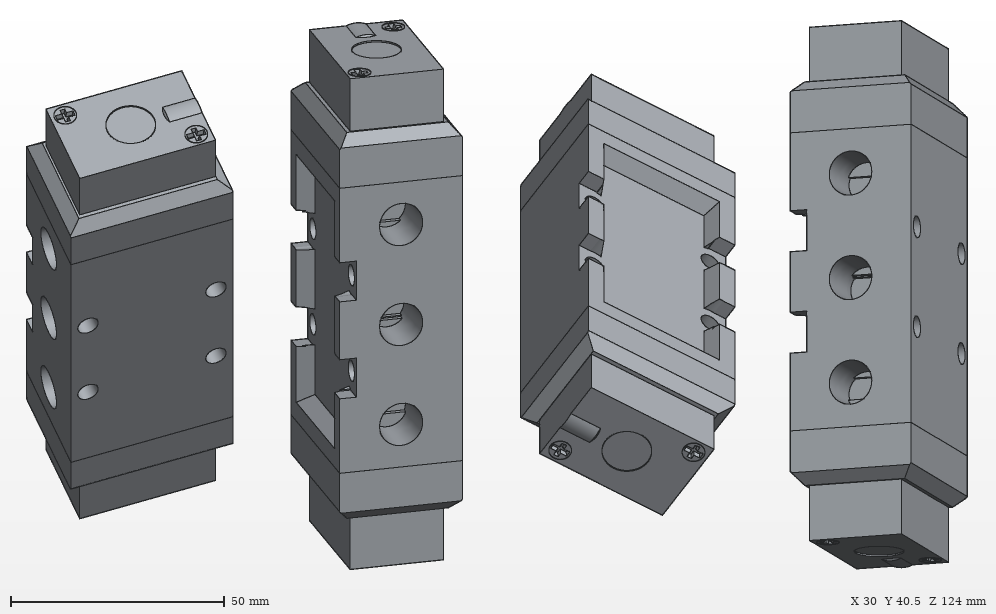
import cadquery as cq

BODY_WIDTH = 30.0
BODY_DEPTH = 40.5
TOTAL_HEIGHT = 124.0
BODY_HEIGHT = 71.4

PORT_PITCH = 25.0
PORT_MOUTH_DIAMETER = 10.5
PORT_DEPTH = 11.9
PORT_TAPER = 1 / 16
SLOT_STEP_DEPTH = 1.2
CENTRE_SLOT_HEIGHTS = (6.3, 5.7)
END_SLOT_HEIGHTS = (5.2,)
END_SLOT_OFFSET = 1.0

POCKET_DEPTH = 4.1
POCKET_WIDTH = 32.0
POCKET_HEIGHT = 62.1
POCKET_FLOOR_WIDTH = 28.4
POCKET_FLOOR_HEIGHT = 57.8
NOTCH_HEIGHT = 9.8
NOTCH_OFFSET = 12.2
NOTCH_GAP = 30.8
MOUNT_HOLE_DIAMETER = 5.1
SPOT_FACE_DIAMETER = 9.7
MOUNT_HOLE_PITCH_Y = POCKET_WIDTH
MOUNT_HOLE_PITCH_Z = 23.9

CAP_HEIGHT = 12.6
CAP_SHORT_CHAMFER = 2.6
CAP_LONG_CHAMFER = 3.0

COVER_WIDTH = 22.8
COVER_DEPTH = 34.0
COVER_CENTRE_Y = 0.2
DISC_DIAMETER = 11.7
DISC_RECESS_DEPTH = 0.4

RIB_WIDTH = 4.8
RIB_HEIGHT = 0.5
RIB_LENGTH = 8.8
RIB_END_CHAMFER = 0.6

SCREW_DIAMETER = 5.3
SCREW_RECESS_DEPTH = 0.1
SCREW_OFFSET_X = 8.0
SCREW_OFFSET_Y = 13.4
CROSS_ARM_X = (3.8, 1.2)
CROSS_ARM_Y = (1.5, 4.5)
CROSS_DEPTH = 1.2
CROSS_TAPER = 15.0

CAP_BASE_Z = BODY_HEIGHT / 2
CAP_TOP_Z = CAP_BASE_Z + CAP_HEIGHT
COVER_TOP_Z = TOTAL_HEIGHT / 2 - RIB_HEIGHT
COVER_HEIGHT = COVER_TOP_Z - CAP_TOP_Z


def block(width, depth, height, x=0, y=0, z=0):
    """A box centred on the given point."""
    return cq.Workplane("XY").box(width, depth, height).translate((x, y, z))


def frustum(lower_size, upper_size, height):
    """A rectangular frustum standing on Z = 0."""
    return (
        cq.Workplane("XY")
        .rect(*lower_size)
        .workplane(offset=height)
        .rect(*upper_size)
        .loft(ruled=True)
    )


def port_cutter(slot_heights, slot_offset):
    """A tapered port along Y, mouth on the -Y face, with a stepped flat slot across its bottom."""
    bottom_diameter = PORT_MOUTH_DIAMETER - PORT_DEPTH * PORT_TAPER
    mouth_y = -BODY_DEPTH / 2
    bottom_y = mouth_y + PORT_DEPTH
    cutter = (
        cq.Workplane("XZ", origin=(0, mouth_y, 0))
        .circle(PORT_MOUTH_DIAMETER / 2)
        .workplane(offset=-PORT_DEPTH)
        .circle(bottom_diameter / 2)
        .loft(ruled=True)
    )
    for step, slot_height in enumerate(slot_heights, start=1):
        slot = (
            cq.Workplane("XZ", origin=(0, bottom_y, 0))
            .circle(bottom_diameter / 2)
            .extrude(-step * SLOT_STEP_DEPTH)
            .intersect(block(bottom_diameter, BODY_DEPTH, slot_height, z=slot_offset))
        )
        cutter = cutter.union(slot)
    return cutter


def pocket_cutter():
    """The drafted pocket, widest at the -X face."""
    return (
        frustum(
            (POCKET_HEIGHT, POCKET_WIDTH),
            (POCKET_FLOOR_HEIGHT, POCKET_FLOOR_WIDTH),
            POCKET_DEPTH,
        )
        .rotate((0, 0, 0), (0, 1, 0), 90)
        .translate((-BODY_WIDTH / 2, 0, 0))
    )


def notch_cutter():
    """Two notches at one height, running in from the Y faces just past the pocket mouth."""
    full = block(2 * POCKET_DEPTH, BODY_DEPTH, NOTCH_HEIGHT, x=-BODY_WIDTH / 2)
    middle = block(2 * POCKET_DEPTH, NOTCH_GAP, NOTCH_HEIGHT, x=-BODY_WIDTH / 2)
    return full.cut(middle)


def mount_hole_cutter(diameter, depth):
    """Round cutters on the four mounting hole axes, from the -X face inward."""
    return (
        cq.Workplane("YZ", origin=(-BODY_WIDTH / 2, 0, 0))
        .rarray(MOUNT_HOLE_PITCH_Y, MOUNT_HOLE_PITCH_Z, 2, 2)
        .circle(diameter / 2)
        .extrude(depth)
    )


def make_body():
    body = block(BODY_WIDTH, BODY_DEPTH, BODY_HEIGHT)
    for row in (-1, 0, 1):
        slot_heights = END_SLOT_HEIGHTS if row else CENTRE_SLOT_HEIGHTS
        port = port_cutter(slot_heights, -row * END_SLOT_OFFSET)
        body = body.cut(port.translate((0, 0, row * PORT_PITCH)))
    body = body.cut(pocket_cutter())
    notches = notch_cutter()
    for side in (-1, 1):
        body = body.cut(notches.translate((0, 0, side * NOTCH_OFFSET)))
    body = body.cut(mount_hole_cutter(SPOT_FACE_DIAMETER, POCKET_DEPTH))
    return body.cut(mount_hole_cutter(MOUNT_HOLE_DIAMETER, BODY_WIDTH))


def bevelled_profile(plane, width, bevel_in, bevel_down):
    """An end cap's outline, bevelled at both top corners and extruded across the whole body."""
    half_width = width / 2
    bevel_z = CAP_TOP_Z - bevel_down
    return (
        cq.Workplane(plane)
        .moveTo(-half_width, CAP_BASE_Z)
        .lineTo(half_width, CAP_BASE_Z)
        .lineTo(half_width, bevel_z)
        .lineTo(half_width - bevel_in, CAP_TOP_Z)
        .lineTo(-half_width + bevel_in, CAP_TOP_Z)
        .lineTo(-half_width, bevel_z)
        .close()
        .extrude(BODY_DEPTH, both=True)
    )


def make_cap():
    """The upper end cap; its bevels run further down on the X sides and further in on the Y sides."""
    across_x = bevelled_profile("XZ", BODY_WIDTH, CAP_SHORT_CHAMFER, CAP_LONG_CHAMFER)
    across_y = bevelled_profile("YZ", BODY_DEPTH, CAP_LONG_CHAMFER, CAP_SHORT_CHAMFER)
    return across_x.intersect(across_y)


def make_rib():
    """The part of a chamfered round bar that stands above the cover's top face."""
    bar_radius = ((RIB_WIDTH / 2) ** 2 + RIB_HEIGHT**2) / (2 * RIB_HEIGHT)
    back_y = COVER_CENTRE_Y + COVER_DEPTH / 2
    bar = (
        cq.Workplane("XZ", origin=(0, back_y, TOTAL_HEIGHT / 2 - bar_radius))
        .circle(bar_radius)
        .extrude(RIB_LENGTH)
        .faces("<Y")
        .chamfer(RIB_END_CHAMFER)
    )
    above_cover = block(BODY_WIDTH, BODY_DEPTH, RIB_HEIGHT, z=COVER_TOP_Z + RIB_HEIGHT / 2)
    return bar.intersect(above_cover)


def screw_cutter():
    """The shallow round sinking of a screw head and its cross recess, top face on Z = 0."""
    head = cq.Workplane("XY").circle(SCREW_DIAMETER / 2).extrude(-SCREW_RECESS_DEPTH)
    for arm_size in (CROSS_ARM_X, CROSS_ARM_Y):
        arm = cq.Workplane("XY").rect(*arm_size).extrude(-CROSS_DEPTH, taper=CROSS_TAPER)
        head = head.union(arm)
    return head


def make_cover():
    """The upper cover, with its rib, round recess and two screw heads."""
    cover = block(
        COVER_WIDTH, COVER_DEPTH, COVER_HEIGHT, y=COVER_CENTRE_Y, z=CAP_TOP_Z + COVER_HEIGHT / 2
    )
    disc = (
        cq.Workplane("XY", origin=(0, COVER_CENTRE_Y, COVER_TOP_Z))
        .circle(DISC_DIAMETER / 2)
        .extrude(-DISC_RECESS_DEPTH)
    )
    cover = cover.cut(disc).union(make_rib())
    for side in (-1, 1):
        place = (side * SCREW_OFFSET_X, COVER_CENTRE_Y + side * SCREW_OFFSET_Y, COVER_TOP_Z)
        cover = cover.cut(screw_cutter().translate(place))
    return cover


body = make_body()
caps = [make_cap(), make_cap().mirror("XY")]
covers = [make_cover(), make_cover().mirror("XY")]

result = cq.Compound.makeCompound([part.val() for part in [body, *caps, *covers]])